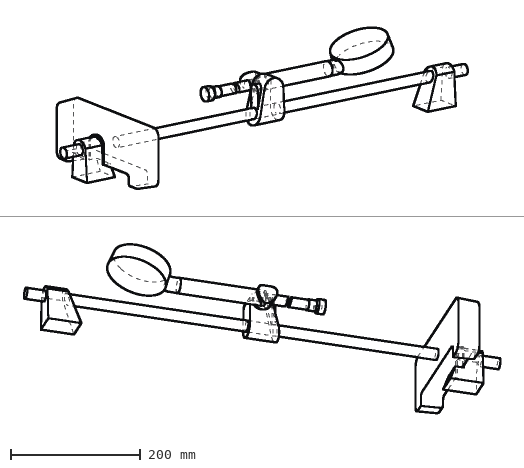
import cadquery as cq
import math


BAR_LENGTH = 763.0
BAR_DIAMETER = 17.5
BAR_HEIGHT = 49.0

BRACKET_INSET = 30.5
BRACKET_TOP_LENGTH = 30.5
BRACKET_BASE_LENGTH = 53.5
BRACKET_SHOULDER_HEIGHT = 54.0
BRACKET_TOP = 64.0
BRACKET_SHOULDER_WIDTH = 30.5
BRACKET_BASE_WIDTH = 39.0

SHELF_WIDTH = 222.0
SHELF_BOTTOM = 1.5
SHELF_TOP = 96.0
SHELF_FRONT = 64.0
SHELF_DEPTH = 36.0
SHELF_CORNER_RADIUS = 13.0
SHELF_DRAFT_ANGLE = 3.0
SHELF_EDGE_FILLET = 4.5
NOTCH_WIDTH = 165.0
NOTCH_TOP = 23.0
NOTCH_RADIUS = 6.0
PAD_WIDTH = 36.5
PAD_HEIGHT = 2.0

PIVOT_Y = 388.0
PIVOT_HEIGHT = 86.0
SLIDER_WIDTH = 36.5
SLIDER_TOP_WIDTH = 30.5
SLIDER_SHOULDER_HEIGHT = 54.0
SLIDER_TOP_RADIUS = 18.0
SLIDER_FOOT_Y = 357.0
BUTTON_WIDTH = 17.5
BUTTON_END_Y = 363.0
PIVOT_NECK_RADIUS = 13.0
HOLDER_SIDE_X = -19.0
HOLDER_RADIUS = 15.0
HOLDER_END_RADIUS = 16.0
HOLDER_END_X = -52.0

SHOWER_X = -32.0
SHOWER_HEIGHT = 84.0
HANDLE_DIAMETER = 24.5
HANDLE_END_Y = 526.0
NECK_DIAMETER = 24.0
NECK_BEND_Y = 541.0
HEAD_TILT = 19.8
HEAD_REACH = 52.0
HEAD_THICKNESS = 26.0
HEAD_BACK_RADIUS = 48.0
HEAD_FACE_RADIUS = 46.5

HOSE_DIAMETER = 16.0
HOSE_BREAK_Y = 349.0
HOSE_BREAK_GAP = 5.0
HOSE_BREAK_ANGLE = 12.0
SLEEVE_DIAMETER = 17.5
SLEEVE_START_Y = 318.0
NUT_DIAMETER = 23.0
NUT_START_Y = 306.0
NUT_END_Y = 292.0
NUT_CHAMFER = 3.0


def rod(x, z, diameter, y_start, y_end):
    """Round rod along Y."""
    plane = cq.Workplane("XZ", origin=(x, y_start, z))
    return plane.circle(diameter / 2).extrude(y_start - y_end)


def arch_outline(plane, shoulder_width, base_width, top):
    """Upright outline with an arched top and sides running straight from the shoulders to the wall."""
    return (
        plane.moveTo(-base_width / 2, 0)
        .lineTo(-shoulder_width / 2, BRACKET_SHOULDER_HEIGHT)
        .threePointArc((0, top), (shoulder_width / 2, BRACKET_SHOULDER_HEIGHT))
        .lineTo(base_width / 2, 0)
        .close()
    )


def make_bracket():
    """Bracket near Y = 0, upright on its outer side and sloping on its inner side."""
    front = cq.Workplane("XZ", origin=(0, BRACKET_INSET, 0))
    outline = arch_outline(front, BRACKET_SHOULDER_WIDTH, BRACKET_BASE_WIDTH, BRACKET_TOP)
    block = outline.extrude(-BRACKET_BASE_LENGTH)
    side_profile = (
        cq.Workplane("YZ")
        .moveTo(BRACKET_INSET, 0)
        .lineTo(BRACKET_INSET, BRACKET_TOP)
        .lineTo(BRACKET_INSET + BRACKET_TOP_LENGTH, BRACKET_TOP)
        .lineTo(BRACKET_INSET + BRACKET_BASE_LENGTH, 0)
        .close()
        .extrude(BRACKET_BASE_WIDTH, both=True)
    )
    return block.intersect(side_profile)


def make_shelf():
    """Shelf box narrowing toward its front, with a wide notch for the bracket on the wall side."""
    height = SHELF_TOP - SHELF_BOTTOM
    back = SHELF_FRONT + SHELF_DEPTH
    box = (
        cq.Workplane("XZ", origin=(0, back, SHELF_BOTTOM + height / 2))
        .sketch()
        .rect(SHELF_WIDTH, height)
        .vertices()
        .fillet(SHELF_CORNER_RADIUS)
        .finalize()
        .extrude(SHELF_DEPTH, taper=SHELF_DRAFT_ANGLE)
        .faces("<Y")
        .edges()
        .fillet(SHELF_EDGE_FILLET)
    )
    notch = (
        cq.Workplane("XY", origin=(0, SHELF_FRONT + SHELF_DEPTH / 2, 0))
        .box(NOTCH_WIDTH, 2 * SHELF_DEPTH, 2 * NOTCH_TOP)
        .edges("|Y")
        .fillet(NOTCH_RADIUS)
    )
    return box.cut(notch)


def make_shelf_pad():
    """Low rim on the shelf front around the bracket, ending at the notch."""
    front = cq.Workplane("XZ", origin=(0, SHELF_FRONT - PAD_HEIGHT, 0))
    pad = arch_outline(front, PAD_WIDTH, PAD_WIDTH, BAR_HEIGHT + PAD_WIDTH / 2).extrude(-SHELF_DEPTH / 2)
    below_notch_top = cq.Workplane("XY").box(
        SHELF_WIDTH, BAR_LENGTH, NOTCH_TOP, centered=(True, True, False)
    )
    return pad.cut(below_notch_top)


def make_wall_bar():
    bar = rod(0, BAR_HEIGHT, BAR_DIAMETER, 0, BAR_LENGTH)
    bracket = make_bracket()
    far_bracket = bracket.mirror("XZ", (0, BAR_LENGTH / 2, 0))
    return bar.union(bracket).union(far_bracket).union(make_shelf()).union(make_shelf_pad())


def head_frame(reach, rise):
    """Tilted frame at a distance from the neck bend: X along the neck, normal out of the spray face."""
    angle = math.radians(HEAD_TILT)
    along = cq.Vector(0, math.cos(angle), math.sin(angle))
    normal = cq.Vector(0, -math.sin(angle), math.cos(angle))
    bend = cq.Vector(SHOWER_X, NECK_BEND_Y, SHOWER_HEIGHT)
    return cq.Plane(bend + along * reach + normal * rise, along, normal)


def make_head():
    """Slightly conical spray disc with the smaller end as its face."""
    draft = math.degrees(math.atan((HEAD_BACK_RADIUS - HEAD_FACE_RADIUS) / HEAD_THICKNESS))
    back_plane = head_frame(HEAD_REACH, -HEAD_THICKNESS / 2)
    return cq.Workplane(back_plane).circle(HEAD_BACK_RADIUS).extrude(HEAD_THICKNESS, taper=draft)


def make_neck():
    """Round neck bent between the handle and the head."""
    bend = cq.Workplane("XY", origin=(SHOWER_X, NECK_BEND_Y, SHOWER_HEIGHT)).sphere(NECK_DIAMETER / 2)
    frame = head_frame(0, 0)
    neck_plane = cq.Plane(frame.origin, frame.zDir, frame.xDir)
    arm = cq.Workplane(neck_plane).circle(NECK_DIAMETER / 2).extrude(HEAD_REACH)
    stub = rod(SHOWER_X, SHOWER_HEIGHT, NECK_DIAMETER, HANDLE_END_Y, NECK_BEND_Y)
    return bend.union(arm).union(stub)


def make_hose_break():
    """Thin slanted slab that interrupts the hose."""
    return (
        cq.Workplane("XY")
        .box(2 * HOSE_DIAMETER, HOSE_BREAK_GAP, 2 * HOSE_DIAMETER)
        .rotate((0, 0, 0), (1, 0, 0), HOSE_BREAK_ANGLE)
        .translate((SHOWER_X, HOSE_BREAK_Y, SHOWER_HEIGHT))
    )


def make_hand_shower():
    """Head, neck, handle down to the pivot axis, and the first stretch of hose."""
    handle = rod(SHOWER_X, SHOWER_HEIGHT, HANDLE_DIAMETER, PIVOT_Y, HANDLE_END_Y)
    hose = rod(SHOWER_X, SHOWER_HEIGHT, HOSE_DIAMETER, HOSE_BREAK_Y, PIVOT_Y).cut(make_hose_break())
    return make_head().union(make_neck()).union(handle).union(hose)


def make_hose_tail():
    """Rest of the hose with its sleeve and end nut."""
    hose = rod(SHOWER_X, SHOWER_HEIGHT, HOSE_DIAMETER, SLEEVE_START_Y, HOSE_BREAK_Y).cut(make_hose_break())
    sleeve = rod(SHOWER_X, SHOWER_HEIGHT, SLEEVE_DIAMETER, NUT_START_Y, SLEEVE_START_Y)
    nut = rod(SHOWER_X, SHOWER_HEIGHT, NUT_DIAMETER, NUT_END_Y, NUT_START_Y).faces(">Y").chamfer(NUT_CHAMFER)
    return hose.union(sleeve).union(nut)


def make_slider_block():
    """Block with a round top about the pivot and a round underside about the bar."""
    half_width = SLIDER_WIDTH / 2
    foot_z = BAR_HEIGHT - half_width
    foot_dy = SLIDER_FOOT_Y - PIVOT_Y
    foot_dz = foot_z - PIVOT_HEIGHT
    foot_direction = math.atan2(foot_dz, foot_dy)
    tangent_direction = foot_direction - math.acos(SLIDER_TOP_RADIUS / math.hypot(foot_dy, foot_dz))
    tangent_y = PIVOT_Y + SLIDER_TOP_RADIUS * math.cos(tangent_direction)
    tangent_z = PIVOT_HEIGHT + SLIDER_TOP_RADIUS * math.sin(tangent_direction)
    side_profile = (
        cq.Workplane("YZ")
        .moveTo(SLIDER_FOOT_Y, foot_z)
        .lineTo(tangent_y, tangent_z)
        .threePointArc(
            (PIVOT_Y, PIVOT_HEIGHT + SLIDER_TOP_RADIUS), (PIVOT_Y + SLIDER_TOP_RADIUS, PIVOT_HEIGHT)
        )
        .lineTo(PIVOT_Y + SLIDER_TOP_RADIUS, foot_z)
        .close()
        .extrude(half_width, both=True)
    )
    front_profile = (
        cq.Workplane("XZ", origin=(0, SLIDER_FOOT_Y, 0))
        .moveTo(-half_width, SLIDER_SHOULDER_HEIGHT)
        .threePointArc((0, foot_z), (half_width, SLIDER_SHOULDER_HEIGHT))
        .lineTo(SLIDER_TOP_WIDTH / 2, PIVOT_HEIGHT + SLIDER_TOP_RADIUS)
        .lineTo(-SLIDER_TOP_WIDTH / 2, PIVOT_HEIGHT + SLIDER_TOP_RADIUS)
        .close()
        .extrude(SLIDER_FOOT_Y - PIVOT_Y - SLIDER_TOP_RADIUS)
    )
    return side_profile.intersect(front_profile)


def make_button():
    """Round-topped button standing out of the sloping side above the bar."""
    radius = BUTTON_WIDTH / 2
    return (
        cq.Workplane("XZ", origin=(0, BUTTON_END_Y, 0))
        .moveTo(-radius, BAR_HEIGHT)
        .lineTo(-radius, PIVOT_HEIGHT)
        .threePointArc((0, PIVOT_HEIGHT + radius), (radius, PIVOT_HEIGHT))
        .lineTo(radius, BAR_HEIGHT)
        .close()
        .extrude(BUTTON_END_Y - PIVOT_Y)
    )


def make_holder():
    """Round holder across the handle, on a thinner neck, with its far end rounded about a Y axis."""
    holder = (
        cq.Workplane("YZ", origin=(HOLDER_END_X, PIVOT_Y, PIVOT_HEIGHT))
        .circle(HOLDER_RADIUS)
        .extrude(HOLDER_SIDE_X - HOLDER_END_X)
    )
    end_axis_x = HOLDER_END_X + HOLDER_END_RADIUS
    end_profile = (
        cq.Workplane("XZ", origin=(end_axis_x, PIVOT_Y, PIVOT_HEIGHT))
        .moveTo(0, HOLDER_END_RADIUS)
        .threePointArc((-HOLDER_END_RADIUS, 0), (0, -HOLDER_END_RADIUS))
        .lineTo(HOLDER_SIDE_X - end_axis_x, -HOLDER_END_RADIUS)
        .lineTo(HOLDER_SIDE_X - end_axis_x, HOLDER_END_RADIUS)
        .close()
        .extrude(HOLDER_RADIUS, both=True)
    )
    neck = (
        cq.Workplane("YZ", origin=(HOLDER_SIDE_X, PIVOT_Y, PIVOT_HEIGHT))
        .circle(PIVOT_NECK_RADIUS)
        .extrude(-HOLDER_SIDE_X)
    )
    return holder.intersect(end_profile).union(neck)


def make_slider(wall_bar, hand_shower):
    """Slider with matching holes for the bar and the hand shower."""
    slider = make_slider_block().union(make_button()).union(make_holder())
    return slider.cut(wall_bar).cut(hand_shower)


wall_bar = make_wall_bar()
hand_shower = make_hand_shower()
hose_tail = make_hose_tail()
slider = make_slider(wall_bar, hand_shower)

bodies = [wall_bar, hand_shower, hose_tail, slider]
result = cq.Compound.makeCompound([body.solids().val() for body in bodies])